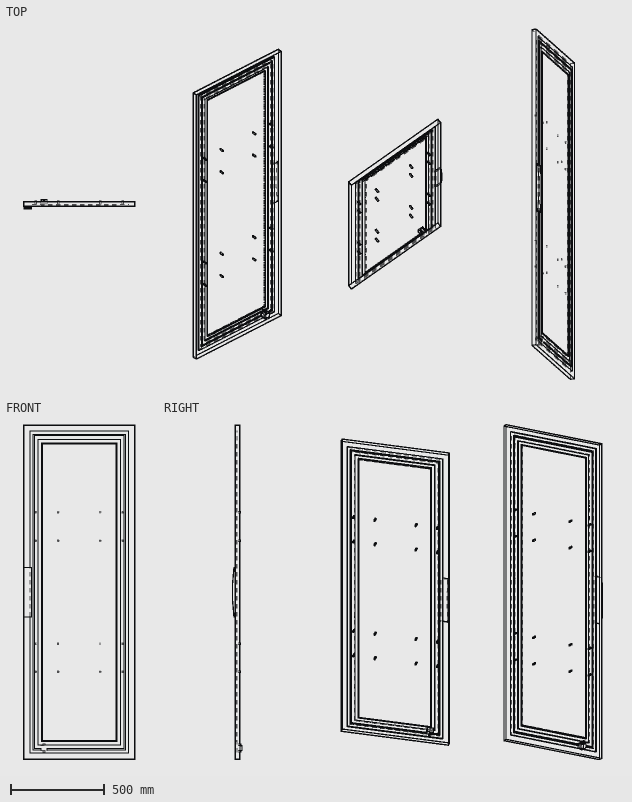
import cadquery as cq
import math

door_width = 593.0
door_height = 1783.0
door_depth = 25.0
total_depth = 52.51
sheet = 1.2

window_inset = 100.0
pane_inset = 95.0
pane_thickness = 6.0

outer_strip = (33.0, 50.0)
inner_strip = (57.0, 76.0)
strip_height = 8.0

handle_width = 38.5
handle_height = 265.0
handle_projection = 15.5
handle_bow_radius = 1000.0
handle_side_gap = 3.0

stud_diameter = 8.0
stud_overhang = 4.0
stud_columns = (113.0, 231.0)
stud_rows = (275.0, 425.0)

catch_width = 32.0
catch_height = 26.0
catch_x = -188.0
catch_z = -832.0
catch_rib_width = 9.0
catch_rib_height = 42.0
catch_rib_overhang = 5.0

seam_depth = 14.0

handle_front = -total_depth / 2
front = handle_front + handle_projection
sheet_back = front + sheet
pane_back = sheet_back + pane_thickness
rear = front + door_depth
catch_tip = total_depth / 2


def block(inset, y_start, y_end):
    """Door-shaped block, its four sides moved in by inset, between two Y positions."""
    return cq.Workplane("XY").box(
        door_width - 2 * inset, y_end - y_start, door_height - 2 * inset
    ).translate((0, (y_start + y_end) / 2, 0))


def ring(insets, y_start, y_end):
    """Rectangular frame between an outer and an inner inset."""
    outer_inset, inner_inset = insets
    return block(outer_inset, y_start, y_end).cut(block(inner_inset, y_start, y_end))


def make_tray():
    """Front sheet with the window opening, and edge walls that reach to the rear."""
    front_sheet = ring((0, window_inset), front, sheet_back)
    walls = ring((0, sheet), front, rear)
    return front_sheet.union(walls)


def make_corner_seams():
    """Four cutters for the square notches that part the edge walls at the rear corners."""
    corners = [
        (side * door_width / 2, end * door_height / 2)
        for side in (-1, 1)
        for end in (-1, 1)
    ]
    return (
        cq.Workplane("XZ", origin=(0, rear, 0))
        .pushPoints(corners)
        .rect(2 * sheet, 2 * sheet)
        .extrude(seam_depth)
    )


def make_handle():
    """Block with an outward bowed front face."""
    half_height = handle_height / 2
    bow = handle_bow_radius - math.sqrt(handle_bow_radius**2 - half_height**2)
    end_front = handle_front + bow
    left = -door_width / 2 + handle_side_gap
    return (
        cq.Workplane("YZ", origin=(left, 0, 0))
        .moveTo(front, -half_height)
        .lineTo(end_front, -half_height)
        .threePointArc((handle_front, 0), (end_front, half_height))
        .lineTo(front, half_height)
        .close()
        .extrude(handle_width)
    )


def make_studs():
    """Round studs in mirrored columns and rows, from the plane of the pane back to past the rear edge."""
    centres = [
        (side * x, end * z)
        for x in stud_columns
        for z in stud_rows
        for side in (-1, 1)
        for end in (-1, 1)
    ]
    length = rear + stud_overhang - pane_back
    return (
        cq.Workplane("XZ", origin=(0, pane_back, 0))
        .pushPoints(centres)
        .circle(stud_diameter / 2)
        .extrude(-length)
    )


def make_catch():
    """Catch block that reaches the rearmost point, with its rib showing above and below."""
    body_depth = catch_tip - sheet_back
    rib_depth = rear + catch_rib_overhang - sheet_back
    base = cq.Workplane("XZ", origin=(catch_x, sheet_back, catch_z))
    body = base.rect(catch_width, catch_height).extrude(-body_depth)
    rib = base.rect(catch_rib_width, catch_rib_height).extrude(-rib_depth)
    return body.union(rib)


door = make_tray().cut(make_corner_seams())
door = door.union(block(pane_inset, sheet_back, pane_back))
for strip in (outer_strip, inner_strip):
    door = door.union(ring(strip, sheet_back, sheet_back + strip_height))
door = door.union(make_handle()).union(make_studs()).union(make_catch())

result = door